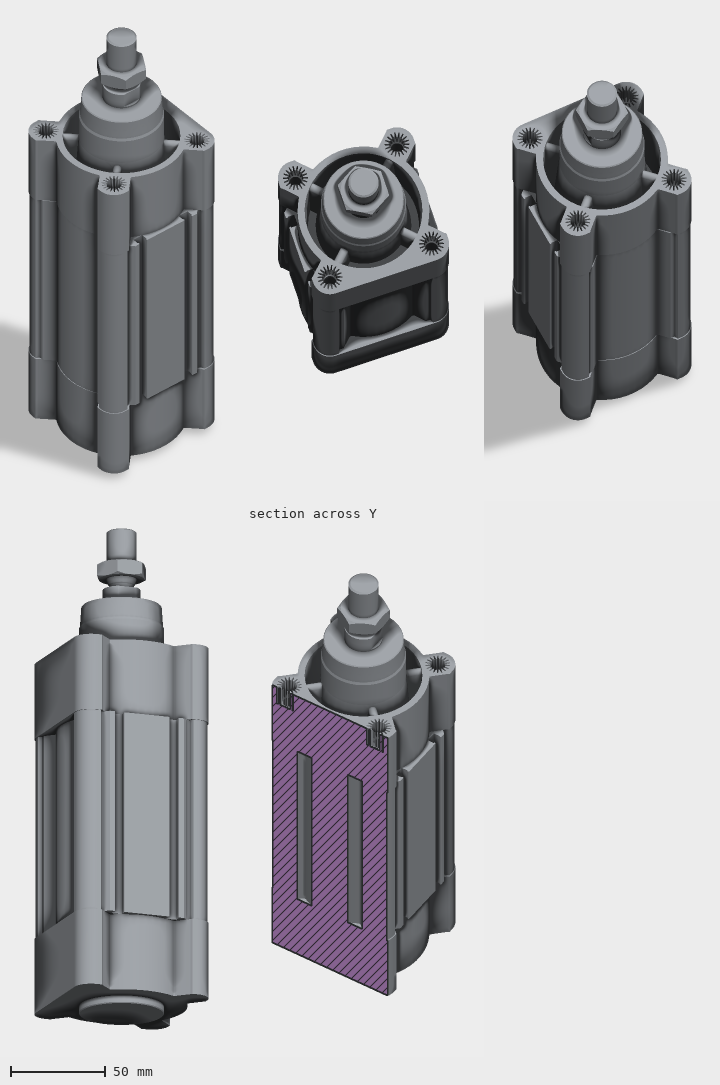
import cadquery as cq
import math

TOTAL_HEIGHT = 263.1
REAR_COLLAR_HEIGHT = 4.0
CAP_HEIGHT = 41.0
BARREL_LENGTH = 109.0
FRONT_COLLAR_HEIGHT = 27.0
THREAD_LENGTH = 32.0

BARREL_BOTTOM = REAR_COLLAR_HEIGHT + CAP_HEIGHT
FRONT_CAP_BOTTOM = BARREL_BOTTOM + BARREL_LENGTH
FRONT_FACE = FRONT_CAP_BOTTOM + CAP_HEIGHT
FRONT_COLLAR_TOP = FRONT_FACE + FRONT_COLLAR_HEIGHT
ROD_SHOULDER = TOTAL_HEIGHT - THREAD_LENGTH

SCREW_PITCH = 56.5
SCREW_OFFSET = SCREW_PITCH / 2

CAP_WIDTH = 75.0
CAP_BODY_RADIUS = 34.7
CAP_LUG_FLAT_END = 25.6
CAP_LUG_WALL_END = 24.8
CAP_LUG_WALL_DEPTH = 1.1
CAP_NOTCH_FILLET = 0.8

BARREL_WIDTH = 74.0
BARREL_BODY_RADIUS = 34.4
BARREL_LUG_FLAT_END = 26.2
BARREL_LUG_WALL_END = 25.2
BARREL_LEDGE_DEPTH = 2.0
BARREL_LEDGE_END = 22.8
BARREL_NOTCH_FILLET = 1.6
GROOVE_DEPTH = 2.6
GROOVE_FLOOR_END = 23.6
SLOT_MIDDLE = 15.4
SLOT_WIDTH = 6.0
SLOT_MOUTH_WIDTH = 5.0
SLOT_LIP = 1.0
SLOT_LIP_ROUND = 0.5
SLOT_DEPTH = 4.7

COLLAR_DIAMETER = 45.0
COLLAR_CHAMFER = 0.5
COLLAR_STRAIGHT = 14.7
NOSE_CHAMFER_HEIGHT = 1.5
NOSE_BASE_DIAMETER = 43.8
NOSE_TOP_DIAMETER = 42.4
NOSE_TOP_CHAMFER = 0.5

RECESS_DIAMETER = 62.0
RECESS_DEPTH = 35.0
RECESS_SHALLOW_DEPTH = 20.0
RECESS_FLOOR_DIAMETER = 58.4
RECESS_FLOOR_INNER_DIAMETER = 50.4
RIB_DIAMETER = 4.5
RIB_BASE_WIDTH = 10.4
RIB_ROUND_DROP = 3.9

SOCKET_DIAMETER = 13.2
SOCKET_TOOTH_DIAMETER = 8.0
SOCKET_TEETH = 18
SOCKET_DEPTH = 12.0
SCREW_HOLE_DIAMETER = 6.65
SCREW_HOLE_DEPTH = 30.0
DRILL_POINT_ANGLE = 118.0

ROD_DIAMETER = 20.0
ROD_INSIDE_LENGTH = 60.0
ROD_FLATS_WIDTH = 17.0
ROD_FLATS_CLEARANCE = 0.9
THREAD_DIAMETER = 16.0
THREAD_NECK_DIAMETER = 13.2
THREAD_ROOT_DIAMETER = 13.9
THREAD_NECK_FLARE = 0.5
THREAD_NECK_LENGTH = 2.9
THREAD_RUNOUT_LENGTH = 2.7
THREAD_TIP_CHAMFER = 0.7

NUT_WIDTH = 24.0
NUT_HEIGHT = 8.0
NUT_GAP = 5.9
NUT_CHAMFER_ANGLE = 30.0
HEXAGON_TURN = 30.0
NUT_BOTTOM = ROD_SHOULDER + NUT_GAP


def plane_at(height):
    return cq.Workplane("XY").workplane(offset=height)


def cylinder(diameter, bottom, height):
    return plane_at(bottom).circle(diameter / 2).extrude(height)


def turned(points):
    """Solid of revolution about Z from (radius, height) points."""
    return cq.Workplane("XZ").polyline(points).close().revolve(360, (0, 0, 0), (0, 1, 0))


def rounded_square(width, bottom, height):
    corner_radius = width / 2 - SCREW_OFFSET
    return plane_at(bottom).rect(width, width).extrude(height).edges("|Z").fillet(corner_radius)


def body_notch(lug_points, body_radius, fillet, bottom, height):
    """Cutter on the -Y side, between two lugs and the round body.

    lug_points runs down one lug from the flat; a 45 degree flank continues from its last point.
    """
    last_x, last_y = lug_points[-1]
    side = lug_points + [(0, last_y + last_x)]
    mirrored = [(-x, y) for x, y in reversed(lug_points)]
    notch = plane_at(bottom).polyline(side + mirrored).close().extrude(height)
    notch = notch.cut(cylinder(2 * body_radius, bottom, height))
    return notch.edges("|Z").edges(">Y").fillet(fillet)


def make_cap(bottom):
    """Rounded square with notches on three sides; the +Y side stays flat."""
    half = CAP_WIDTH / 2
    lug_points = [
        (CAP_LUG_FLAT_END, -half),
        (CAP_LUG_WALL_END, -half + CAP_LUG_WALL_DEPTH),
    ]
    notch = body_notch(lug_points, CAP_BODY_RADIUS, CAP_NOTCH_FILLET, bottom, CAP_HEIGHT)
    cap = rounded_square(CAP_WIDTH, bottom, CAP_HEIGHT)
    for angle in (-90, 0, 90):
        cap = cap.cut(notch.rotate((0, 0, 0), (0, 0, 1), angle))
    return cap


def side_groove():
    """Groove beside the lug at (+X, +Y), open to +X."""
    half = BARREL_WIDTH / 2
    floor = half - GROOVE_DEPTH
    return plane_at(BARREL_BOTTOM).polyline([
        (half, BARREL_LUG_FLAT_END),
        (floor, BARREL_LUG_WALL_END),
        (floor, GROOVE_FLOOR_END),
        (half, GROOVE_FLOOR_END - GROOVE_DEPTH),
    ]).close().extrude(BARREL_LENGTH)


def sensor_slot():
    """Slot open to +X, with a narrower mouth between rounded lips."""
    half = BARREL_WIDTH / 2
    inner_depth = SLOT_DEPTH - SLOT_LIP
    inside = (
        plane_at(BARREL_BOTTOM).center(half - SLOT_LIP - inner_depth / 2, SLOT_MIDDLE)
        .rect(inner_depth, SLOT_WIDTH).extrude(BARREL_LENGTH)
    )
    half_mouth = SLOT_MOUTH_WIDTH / 2
    lip = SLOT_LIP_ROUND
    bend = lip * (1 - math.sqrt(0.5))
    mouth = (
        plane_at(BARREL_BOTTOM).center(half, SLOT_MIDDLE)
        .moveTo(-SLOT_LIP, -half_mouth).lineTo(-lip, -half_mouth)
        .threePointArc((-bend, -half_mouth - bend), (0, -half_mouth - lip))
        .lineTo(0, half_mouth + lip)
        .threePointArc((-bend, half_mouth + bend), (-lip, half_mouth))
        .lineTo(-SLOT_LIP, half_mouth).close().extrude(BARREL_LENGTH)
    )
    return inside.union(mouth)


def make_barrel():
    half = BARREL_WIDTH / 2
    ledge = half - BARREL_LEDGE_DEPTH
    lug_points = [
        (BARREL_LUG_FLAT_END, -half),
        (BARREL_LUG_WALL_END, -ledge),
        (BARREL_LEDGE_END, -ledge),
    ]
    notch = body_notch(lug_points, BARREL_BODY_RADIUS, BARREL_NOTCH_FILLET, BARREL_BOTTOM, BARREL_LENGTH)
    barrel = rounded_square(BARREL_WIDTH, BARREL_BOTTOM, BARREL_LENGTH)
    barrel = barrel.cut(notch).cut(notch.mirror("XZ"))
    for cutter in (side_groove(), sensor_slot()):
        for pair in (cutter, cutter.mirror("XZ")):
            barrel = barrel.cut(pair).cut(pair.mirror("YZ"))
    return barrel


def rib(angle):
    """Drafted bar with a round top, running right across the recess."""
    floor = FRONT_FACE - RECESS_DEPTH
    round_start = FRONT_FACE - RIB_ROUND_DROP
    radius = RIB_DIAMETER / 2
    return (
        cq.Workplane("YZ").workplane(offset=-RECESS_DIAMETER / 2)
        .moveTo(-RIB_BASE_WIDTH / 2, floor).lineTo(-radius, round_start)
        .threePointArc((0, round_start + radius), (radius, round_start))
        .lineTo(RIB_BASE_WIDTH / 2, floor).close().extrude(RECESS_DIAMETER)
        .rotate((0, 0, 0), (0, 0, 1), angle)
    )


def ring_recess():
    floor = FRONT_FACE - RECESS_DEPTH
    ring = turned([
        (COLLAR_DIAMETER / 2, FRONT_FACE),
        (RECESS_DIAMETER / 2, FRONT_FACE),
        (RECESS_FLOOR_DIAMETER / 2, floor),
        (RECESS_FLOOR_INNER_DIAMETER / 2, floor),
    ])
    raised_floor = (
        plane_at(floor).polyline([(0, 0), (CAP_WIDTH / 2, CAP_WIDTH / 2), (-CAP_WIDTH / 2, CAP_WIDTH / 2)])
        .close().extrude(RECESS_DEPTH - RECESS_SHALLOW_DEPTH)
    )
    return ring.cut(raised_floor).cut(rib(45)).cut(rib(135))


def front_collar():
    straight_top = FRONT_FACE + COLLAR_STRAIGHT
    top_radius = NOSE_TOP_DIAMETER / 2
    return turned([
        (0, FRONT_FACE),
        (COLLAR_DIAMETER / 2, FRONT_FACE),
        (COLLAR_DIAMETER / 2, straight_top),
        (NOSE_BASE_DIAMETER / 2, straight_top + NOSE_CHAMFER_HEIGHT),
        (top_radius, FRONT_COLLAR_TOP - NOSE_TOP_CHAMFER),
        (top_radius - NOSE_TOP_CHAMFER, FRONT_COLLAR_TOP),
        (0, FRONT_COLLAR_TOP),
    ])


def rear_collar():
    return cylinder(COLLAR_DIAMETER, 0, REAR_COLLAR_HEIGHT).faces("<Z").chamfer(COLLAR_CHAMFER)


def screw_socket():
    """Toothed socket above a drilled hole, on the Z axis."""
    corners_per_tooth = 4
    corner_count = corners_per_tooth * SOCKET_TEETH
    points = []
    for i in range(corner_count):
        diameter = SOCKET_DIAMETER if i % corners_per_tooth < 2 else SOCKET_TOOTH_DIAMETER
        angle = 2 * math.pi * i / corner_count
        points.append((diameter / 2 * math.cos(angle), diameter / 2 * math.sin(angle)))
    socket = plane_at(FRONT_FACE - SOCKET_DEPTH).polyline(points).close().extrude(SOCKET_DEPTH)
    radius = SCREW_HOLE_DIAMETER / 2
    straight_end = FRONT_FACE - SCREW_HOLE_DEPTH
    point_length = radius / math.tan(math.radians(DRILL_POINT_ANGLE / 2))
    hole = turned([
        (0, FRONT_FACE),
        (radius, FRONT_FACE),
        (radius, straight_end),
        (0, straight_end - point_length),
    ])
    return socket.union(hole)


def make_housing():
    """Barrel, both end caps and both collars in one piece, bored for the rod."""
    body = make_cap(REAR_COLLAR_HEIGHT).union(make_barrel()).union(make_cap(FRONT_CAP_BOTTOM))
    body = body.union(rear_collar()).union(front_collar())
    body = body.cut(ring_recess())
    socket = screw_socket()
    for x in (-SCREW_OFFSET, SCREW_OFFSET):
        for y in (-SCREW_OFFSET, SCREW_OFFSET):
            body = body.cut(socket.translate((x, y, 0)))
    return body.cut(cylinder(ROD_DIAMETER, FRONT_COLLAR_TOP - ROD_INSIDE_LENGTH, ROD_INSIDE_LENGTH))


def make_rod():
    """Turned rod with two wrench flats and a plain shank for the thread."""
    bottom = FRONT_COLLAR_TOP - ROD_INSIDE_LENGTH
    neck_top = ROD_SHOULDER + THREAD_NECK_LENGTH
    rod = turned([
        (0, bottom),
        (ROD_DIAMETER / 2, bottom),
        (ROD_DIAMETER / 2, ROD_SHOULDER),
        (THREAD_ROOT_DIAMETER / 2, ROD_SHOULDER),
        (THREAD_NECK_DIAMETER / 2, ROD_SHOULDER + THREAD_NECK_FLARE),
        (THREAD_NECK_DIAMETER / 2, neck_top - THREAD_NECK_FLARE),
        (THREAD_ROOT_DIAMETER / 2, neck_top),
        (THREAD_DIAMETER / 2, neck_top + THREAD_RUNOUT_LENGTH),
        (THREAD_DIAMETER / 2, TOTAL_HEIGHT - THREAD_TIP_CHAMFER),
        (THREAD_ROOT_DIAMETER / 2, TOTAL_HEIGHT),
        (0, TOTAL_HEIGHT),
    ])
    flats_bottom = FRONT_COLLAR_TOP + ROD_FLATS_CLEARANCE
    flats_height = ROD_SHOULDER - flats_bottom
    kept = plane_at(flats_bottom).rect(ROD_FLATS_WIDTH, ROD_DIAMETER).extrude(flats_height)
    return rod.cut(cylinder(2 * ROD_DIAMETER, flats_bottom, flats_height).cut(kept))


def make_nut():
    """Hexagon nut with corners on +Y and -Y, chamfered at both ends."""
    corner_diameter = NUT_WIDTH / math.cos(math.pi / 6)
    hexagon = plane_at(NUT_BOTTOM).polygon(6, corner_diameter).extrude(NUT_HEIGHT)
    hexagon = hexagon.rotate((0, 0, 0), (0, 0, 1), HEXAGON_TURN)
    chamfer_width = (corner_diameter - NUT_WIDTH) / 2
    chamfer_height = chamfer_width * math.tan(math.radians(NUT_CHAMFER_ANGLE))
    top = NUT_BOTTOM + NUT_HEIGHT
    blank = turned([
        (0, NUT_BOTTOM),
        (NUT_WIDTH / 2, NUT_BOTTOM),
        (corner_diameter / 2, NUT_BOTTOM + chamfer_height),
        (corner_diameter / 2, top - chamfer_height),
        (NUT_WIDTH / 2, top),
        (0, top),
    ])
    return hexagon.intersect(blank).cut(cylinder(THREAD_DIAMETER, NUT_BOTTOM, NUT_HEIGHT))


housing = make_housing()
piston_rod = make_rod()
lock_nut = make_nut()
result = cq.Compound.makeCompound([housing.val(), piston_rod.val(), lock_nut.val()])